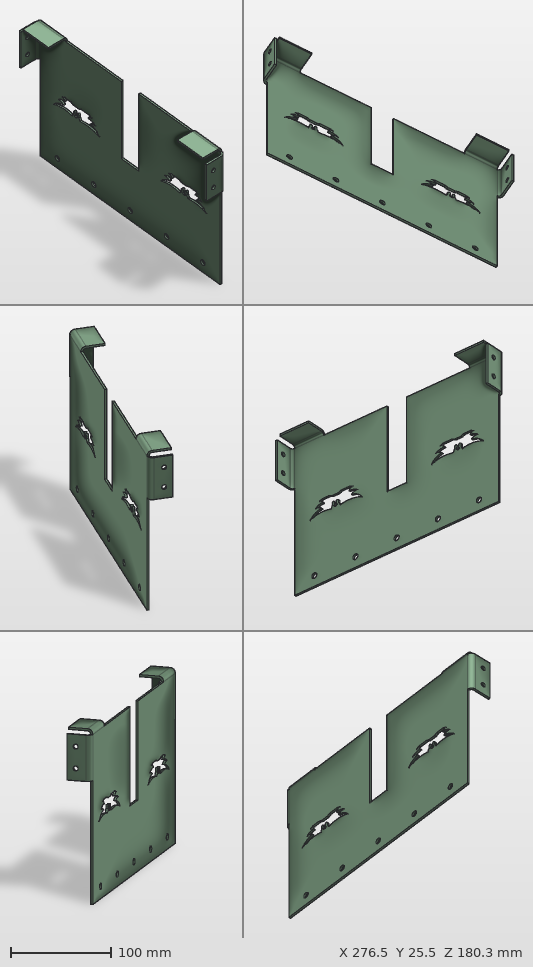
import cadquery as cq
import math

total_width = 276.5
total_depth = 25.5
total_height = 180.3

sheet = 2.38
bend_radius = 5.5
inner_bend_radius = bend_radius - sheet

plate_width = total_width - 2 * bend_radius
plate_height = total_height - bend_radius

side_flange_length = 47.5
top_flange_length = 37.5
flange_hole_diameter = 5.0
flange_hole_spacing = 22.5
flange_hole_to_front = 9.0

slot_width = 25.5
slot_depth = 101.8

bottom_hole_count = 5
bottom_hole_diameter = 6.4
bottom_hole_spacing = 53.6
bottom_hole_height = 12.7

bat_offset = 79.0
bat_tip_height = 80.7


def make_plate():
    """Flat rectangular sheet standing in the XZ plane."""
    plate = cq.Workplane("XY").box(plate_width, sheet, plate_height, centered=(True, False, False))
    return plate.translate((0, -sheet, 0))


def make_flange(origin, outward, along, length):
    """Quarter bend and straight leg, pointing to -Y, swept from origin in the along direction."""
    middle = math.sqrt(0.5)
    outer_middle = (bend_radius * middle, bend_radius * (1 - middle))
    inner_middle = (inner_bend_radius * middle, bend_radius - inner_bend_radius * middle)
    return (
        cq.Workplane(cq.Plane(origin=origin, xDir=outward, normal=along))
        .moveTo(0, 0)
        .threePointArc(outer_middle, (bend_radius, bend_radius))
        .lineTo(bend_radius, total_depth)
        .lineTo(inner_bend_radius, total_depth)
        .lineTo(inner_bend_radius, bend_radius)
        .threePointArc(inner_middle, (0, sheet))
        .close()
        .extrude(length)
    )


def make_flange_holes():
    """Two holes running along X through both side flanges."""
    middle_height = plate_height - side_flange_length / 2
    return (
        cq.Workplane("YZ", origin=(-total_width / 2, flange_hole_to_front - total_depth, middle_height))
        .rarray(2.8, flange_hole_spacing, 1, 2)
        .circle(flange_hole_diameter / 2)
        .extrude(total_width)
    )


def make_slot():
    """Rectangular slot cut down from the top edge."""
    slot = cq.Workplane("XY").box(slot_width, sheet, slot_depth, centered=(True, False, False))
    return slot.translate((0, -sheet, plate_height - slot_depth))


def make_bottom_holes():
    """Evenly spaced row of holes along the bottom edge."""
    return (
        cq.Workplane("XZ", origin=(0, 0, bottom_hole_height))
        .rarray(bottom_hole_spacing, 2.8, bottom_hole_count, 1)
        .circle(bottom_hole_diameter / 2)
        .extrude(sheet)
    )


def make_left_bat():
    """Bat outline, slightly uneven, drawn from the midpoint between its wing tips."""
    return (
        cq.Workplane("XZ", origin=(-bat_offset, 0, bat_tip_height))
        .moveTo(-33.7, 0)
        .threePointArc((-27.0, 5.5), (-18.5, 8.3))
        .threePointArc((-21.5, 10.2), (-26.5, 10.8))
        .threePointArc((-22.0, 13.5), (-17.0, 14.0))
        .threePointArc((-18.5, 16.5), (-21.5, 17.5))
        .lineTo(-17.7, 19.0)
        .lineTo(-8.3, 19.0)
        .lineTo(-4.7, 17.5)
        .lineTo(3.5, 17.5)
        .lineTo(6.5, 19.0)
        .lineTo(18.5, 19.0)
        .lineTo(22.5, 17.5)
        .threePointArc((18.8, 16.5), (17.0, 14.0))
        .threePointArc((23.0, 13.3), (28.2, 10.8))
        .threePointArc((23.2, 10.2), (20.2, 8.3))
        .threePointArc((27.7, 5.8), (33.7, 0))
        .threePointArc((20.7, 3.3), (7.5, 2.5))
        .lineTo(5.3, 2.5)
        .lineTo(3.5, 5.8)
        .lineTo(3.5, 8.3)
        .threePointArc((2.0, 10.0), (0.3, 8.3))
        .lineTo(0.5, 6.4)
        .lineTo(1.5, 5.0)
        .threePointArc((-0.8, 3.3), (-3.0, 4.7))
        .lineTo(-1.5, 5.0)
        .lineTo(-2.0, 8.3)
        .threePointArc((-3.3, 10.0), (-4.7, 8.3))
        .lineTo(-4.7, 6.4)
        .lineTo(-6.0, 2.5)
        .lineTo(-7.7, 2.5)
        .threePointArc((-21.0, 3.3), (-33.7, 0))
        .close()
        .extrude(sheet)
    )


def with_mirror_copy(body):
    """The body joined with its mirror image across the centre plane."""
    return body.union(body.mirror("YZ"))


left_top_corner = (-plate_width / 2, 0, plate_height)
side_flange = make_flange(left_top_corner, (-1, 0, 0), (0, 0, 1), -side_flange_length)
top_flange = make_flange(left_top_corner, (0, 0, 1), (1, 0, 0), top_flange_length)

result = (
    make_plate()
    .union(with_mirror_copy(side_flange))
    .union(with_mirror_copy(top_flange))
    .cut(make_flange_holes())
    .cut(make_slot())
    .cut(make_bottom_holes())
    .cut(with_mirror_copy(make_left_bat()))
)